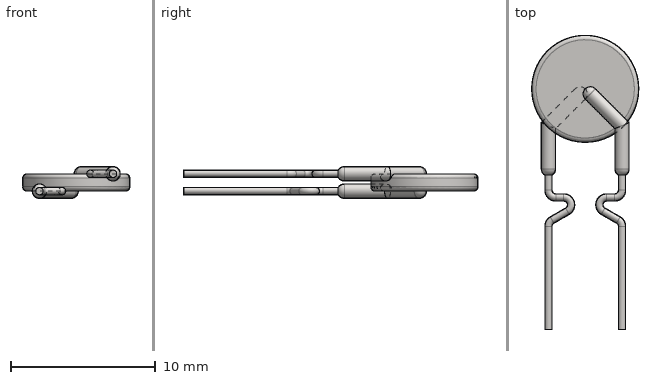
import cadquery as cq
import math

disc_diameter = 7.4
disc_thickness = 1.2
disc_edge_radius = 0.3

overall_length = 20.33
lead_pitch = 5.08
sleeve_diameter = 1.0
wire_diameter = 0.5
sleeve_end_y = -5.53
kink_start_y = -7.0
kink_flat_length = 0.55
bend_radius = 0.5
return_angle = 30

disc_radius = disc_diameter / 2
sleeve_radius = sleeve_diameter / 2
wire_radius = wire_diameter / 2
lead_x = lead_pitch / 2
lead_z = disc_thickness / 2
wire_end_y = disc_radius - overall_length


def make_disc():
    disc = cq.Workplane("XY", origin=(0, 0, -disc_thickness / 2)).circle(disc_radius).extrude(disc_thickness)
    return disc.faces("|Z").edges().fillet(disc_edge_radius)


def arc_point(center, angle):
    """Point on a wire bend, with the angle in degrees from +X."""
    turn = math.radians(angle)
    return (center[0] + bend_radius * math.cos(turn), center[1] + bend_radius * math.sin(turn))


def make_sleeve():
    """Coating that runs diagonally over the disc and turns along -Y, with round ends."""
    inner_offset = sleeve_radius / math.sqrt(2)
    inner_end = (inner_offset, -inner_offset)
    corner = (lead_x, -lead_x)
    outer_end = (lead_x, sleeve_end_y)

    path = cq.Workplane("XY").polyline([inner_end, corner, outer_end])
    start = cq.Plane(origin=(*inner_end, 0), xDir=(0, 0, 1), normal=(1, -1, 0))
    sleeve = cq.Workplane(start).circle(sleeve_radius).sweep(path, transition="right")
    for end in (inner_end, outer_end):
        sleeve = sleeve.union(cq.Workplane("XY").sphere(sleeve_radius).translate((*end, 0)))
    return sleeve


def make_wire():
    """Bare wire with an inward kink."""
    first_center = (lead_x - bend_radius, kink_start_y)
    flat_end_x = first_center[0] - kink_flat_length
    second_center = (flat_end_x, kink_start_y - 2 * bend_radius)
    return_start = arc_point(second_center, 270 - return_angle)

    last_center_x = lead_x - bend_radius
    return_end_x = arc_point((last_center_x, 0), 90 - return_angle)[0]
    drop = (return_end_x - return_start[0]) * math.tan(math.radians(return_angle))
    return_end_y = return_start[1] - drop
    last_center_y = return_end_y - bend_radius * math.cos(math.radians(return_angle))
    last_center = (last_center_x, last_center_y)

    path = (
        cq.Workplane("XY")
        .moveTo(lead_x, sleeve_end_y)
        .lineTo(lead_x, kink_start_y)
        .threePointArc(arc_point(first_center, -45), arc_point(first_center, -90))
        .lineTo(flat_end_x, kink_start_y - bend_radius)
        .threePointArc(arc_point(second_center, 180), return_start)
        .lineTo(return_end_x, return_end_y)
        .threePointArc(arc_point(last_center, (90 - return_angle) / 2), arc_point(last_center, 0))
        .lineTo(lead_x, wire_end_y)
    )
    start = cq.Workplane("XZ", origin=(lead_x, sleeve_end_y, 0))
    return start.circle(wire_radius).sweep(path)


top_lead = make_sleeve().union(make_wire()).translate((0, 0, lead_z))
bottom_lead = top_lead.rotate((0, 0, 0), (0, 1, 0), 180)

result = make_disc().union(top_lead).union(bottom_lead)